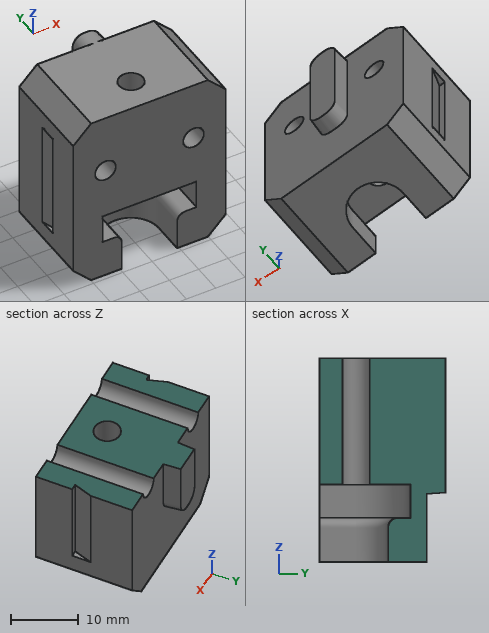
import cadquery as cq
import math

block_width = 26.0
block_depth = 15.8
block_height = 30.0
corner_chamfer = 3.06

screw_hole_diameter = 3.5
screw_hole_spacing = 15.0
screw_hole_height = 20.0

slot_center_y = 5.4
head_width = 16.0
head_floor = 6.5
head_height = 4.9
neck_width = 9.4
neck_round = 1.4

top_hole_diameter = 4.0

recess_front = 6.0
recess_length = 3.0
recess_depth = 1.0
recess_margin = 6.0

key_length = 2.77
key_width = 5.0
key_height = 20.0
key_draft = math.radians(4.0)
key_round = 2.0


def make_block():
    return (
        cq.Workplane("XY")
        .box(block_width, block_depth, block_height, centered=(True, False, False))
        .edges("|Y")
        .chamfer(corner_chamfer)
    )


def make_screw_holes():
    half_spacing = screw_hole_spacing / 2
    return (
        cq.Workplane("XZ")
        .pushPoints([(-half_spacing, screw_hole_height), (half_spacing, screw_hole_height)])
        .circle(screw_hole_diameter / 2)
        .extrude(-block_depth)
    )


def round_ended_channel(width, bottom, height):
    """Channel from the front face to a half-round end centred on slot_center_y."""
    radius = width / 2
    return (
        cq.Workplane("XY", origin=(0, 0, bottom))
        .moveTo(-radius, 0)
        .lineTo(-radius, slot_center_y)
        .threePointArc((0, slot_center_y + radius), (radius, slot_center_y))
        .lineTo(radius, 0)
        .close()
        .extrude(height)
    )


def cut_slot(body):
    head = round_ended_channel(head_width, head_floor, head_height)
    neck = round_ended_channel(neck_width, 0, head_floor)
    body = body.cut(neck).cut(head)
    reach = neck_width / 2 + neck_round / 2
    rim = cq.selectors.BoxSelector(
        (-reach, -neck_round, head_floor - neck_round / 2),
        (reach, slot_center_y + reach, head_floor + neck_round / 2),
        boundingbox=True,
    )
    return body.edges(rim).fillet(neck_round)


def make_top_hole():
    return (
        cq.Workplane("XY", origin=(0, slot_center_y, head_floor))
        .circle(top_hole_diameter / 2)
        .extrude(block_height - head_floor)
    )


def make_side_recess(side):
    """Wedge cut for the side at -X (side = -1) or +X (side = 1)."""
    outer = side * block_width / 2
    inner = side * (block_width / 2 - recess_depth)
    return (
        cq.Workplane("XY", origin=(0, 0, recess_margin))
        .polyline([(outer, recess_front), (inner, recess_front), (outer, recess_front + recess_length)])
        .close()
        .extrude(block_height - 2 * recess_margin)
    )


def make_key():
    """Rounded bar whose sides and lower end lean inwards; its upper end stays level."""
    inset = key_length * math.tan(key_draft)
    tip_width = key_width - 2 * inset
    tip_height = key_height - inset
    return (
        cq.Workplane("XZ", origin=(0, block_depth, 0))
        .center(0, block_height - key_height / 2)
        .rect(key_width, key_height)
        .workplane(offset=-key_length)
        .center(0, inset / 2)
        .rect(tip_width, tip_height)
        .loft(ruled=True)
        .edges("not #Y")
        .fillet(key_round)
    )


result = cut_slot(make_block())
result = result.cut(make_screw_holes()).cut(make_top_hole())
for side in (-1, 1):
    result = result.cut(make_side_recess(side))
result = result.union(make_key())